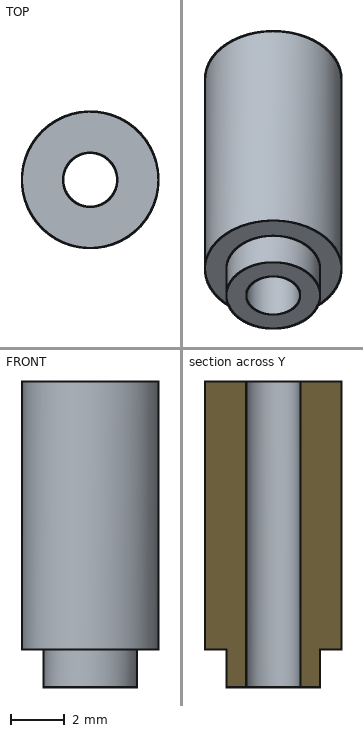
import cadquery as cq

body_diameter = 5.1
body_length = 10.0
spigot_diameter = 3.5
spigot_length = 1.4
bore_diameter = 2.01
total_length = spigot_length + body_length


def cylinder(diameter, length, bottom):
    """Upright cylinder on the Z axis, starting at height `bottom`."""
    return cq.Workplane("XY").workplane(offset=bottom).circle(diameter / 2).extrude(length)


body = cylinder(body_diameter, body_length, 0)
spigot = cylinder(spigot_diameter, spigot_length, -spigot_length)
bore = cylinder(bore_diameter, total_length, -spigot_length)

result = body.union(spigot).cut(bore)